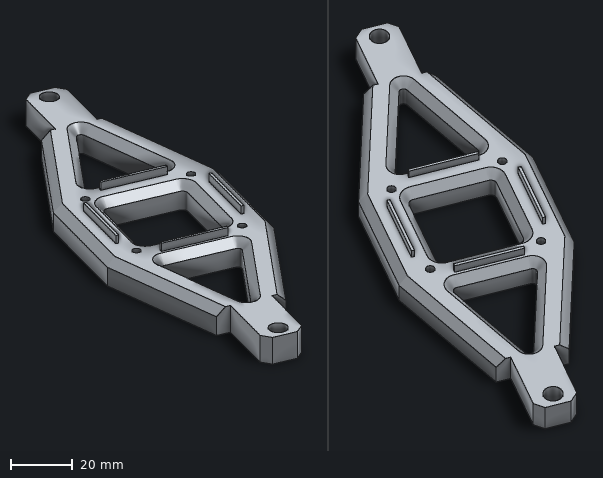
import cadquery as cq

plate_thickness = 10.0
half_width = 30.0
middle_half_length = 20.0
frame_half_length = 65.0
frame_end_half_width = 12.5
edge_chamfer = 3.0
flare_angle = 45.0

overall_half_length = 90.0
tab_half_width = 7.5
tab_corner_chamfer = 3.0
tab_hole_offset = 85.0
tab_hole_diameter = 6.5

window_half_size = 15.0
triangle_base_offset = 27.0
square_corner_radius = 2.0
triangle_corner_radius = 1.5

screw_hole_offset = 19.0
screw_hole_diameter = 3.0
rib_offset = 22.5
rib_length = 24.0
rib_width = 1.0
rib_height = 3.0

taper_slope = (half_width - frame_end_half_width) / (frame_half_length - middle_half_length)


def make_frame():
    """Solid eight-cornered plate, chamfered along its long and sloped top edges only."""
    outline = [
        (-frame_half_length, -frame_end_half_width),
        (-middle_half_length, -half_width),
        (middle_half_length, -half_width),
        (frame_half_length, -frame_end_half_width),
        (frame_half_length, frame_end_half_width),
        (middle_half_length, half_width),
        (-middle_half_length, half_width),
        (-frame_half_length, frame_end_half_width),
    ]
    plate = cq.Workplane("XY").polyline(outline).close().extrude(plate_thickness)
    return plate.faces(">Z").edges("not |Y").chamfer(edge_chamfer)


def make_tab_bar():
    """Bar running end to end; its two ends form the mounting tabs."""
    bar = cq.Workplane("XY").rect(2 * overall_half_length, 2 * tab_half_width).extrude(plate_thickness)
    return bar.edges("|Z").chamfer(tab_corner_chamfer)


def make_window(corners, corner_radius):
    """Cutter for a through window with rounded corners and a flare at the top."""
    prism = cq.Workplane("XY").polyline(corners).close().extrude(plate_thickness)
    prism = prism.edges("|Z").fillet(corner_radius)
    flare_start = plate_thickness - edge_chamfer
    section = prism.faces("<Z").wires().val().moved(cq.Location(cq.Vector(0, 0, flare_start)))
    flare = cq.Workplane("XY").workplane(offset=flare_start).add(section).toPending()
    return prism.union(flare.extrude(edge_chamfer, taper=-flare_angle))


def square_window():
    """Square opening in the middle of the frame."""
    left, right = -window_half_size, window_half_size
    bottom, top = left, right
    corners = [(left, bottom), (right, bottom), (right, top), (left, top)]
    return make_window(corners, square_corner_radius)


def triangle_window(side):
    """Triangle whose sloped sides run parallel to the frame's; side is +1 or -1 along X."""
    tip_offset = triangle_base_offset + window_half_size / taper_slope
    base_x = side * triangle_base_offset
    corners = [(base_x, -window_half_size), (side * tip_offset, 0), (base_x, window_half_size)]
    return make_window(corners, triangle_corner_radius)


def through_holes(centres, diameter):
    """Cutter for round holes through the full thickness."""
    return cq.Workplane("XY").pushPoints(centres).circle(diameter / 2).extrude(plate_thickness)


def make_ribs():
    """Four thin upright ribs, one on each side of the square window."""
    plate_top = cq.Workplane("XY").workplane(offset=plate_thickness)
    rib = plate_top.center(rib_offset, 0).rect(rib_width, rib_length).extrude(rib_height)
    ribs = rib
    for quarter_turn in range(1, 4):
        ribs = ribs.union(rib.rotate((0, 0, 0), (0, 0, 1), 90 * quarter_turn))
    return ribs


tab_hole_centres = [(side * tab_hole_offset, 0) for side in (-1, 1)]
screw_hole_centres = [
    (side_x * screw_hole_offset, side_y * screw_hole_offset) for side_x in (-1, 1) for side_y in (-1, 1)
]

result = make_frame().union(make_tab_bar())
result = result.cut(square_window())
for side in (-1, 1):
    result = result.cut(triangle_window(side))
result = result.cut(through_holes(tab_hole_centres, tab_hole_diameter))
result = result.cut(through_holes(screw_hole_centres, screw_hole_diameter))
result = result.union(make_ribs())